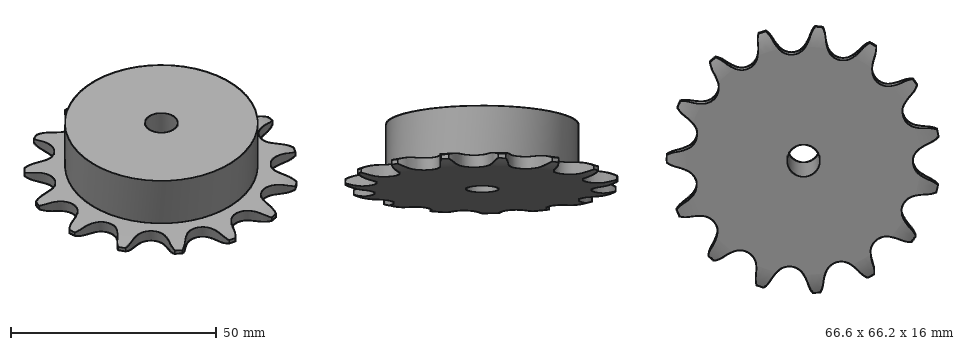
import cadquery as cq
import math

overall_width = 66.6
overall_height = 16.0
tooth_count = 15
chain_pitch = 12.7
roller_diameter = 7.7
seat_clearance = 0.05
plate_thickness = 3.0
tip_thickness = 1.05
hub_diameter = 47.0
bore_diameter = 8.0
gap_overrun = 0.65

pitch_angle = 360.0 / tooth_count
pitch_radius = chain_pitch / (2 * math.sin(math.radians(pitch_angle / 2)))

first_gap_angle = -90.0 + pitch_angle / 2
widest_gap_angle = first_gap_angle + 3 * pitch_angle

seat_angle = math.radians(90 - (35 + 60 / tooth_count))
working_angle = math.radians(18 - 56 / tooth_count)
topping_angle = math.radians(17 - 64 / tooth_count)
flank_angle = seat_angle + working_angle
seat_radius = 0.5025 * roller_diameter + seat_clearance
working_offset = 0.8 * roller_diameter
working_radius = seat_radius + working_offset
topping_offset = 1.4 * roller_diameter
straight_length = topping_offset * math.sin(topping_angle) - working_offset * math.sin(working_angle)
topping_radius = (
    working_offset * math.cos(working_angle) + topping_offset * math.cos(topping_angle) - working_radius
)


def polar_step(start, distance, angle):
    """Point reached from start; the angle is measured from the inward radial direction."""
    return (start[0] - distance * math.cos(angle), start[1] + distance * math.sin(angle))


def mirrored(point):
    return (point[0], -point[1])


seat_centre = (pitch_radius, 0.0)
seat_bottom = polar_step(seat_centre, seat_radius, 0.0)
seat_end = polar_step(seat_centre, seat_radius, seat_angle)
working_centre = polar_step(seat_centre, -working_offset, seat_angle)
working_middle = polar_step(working_centre, working_radius, seat_angle + working_angle / 2)
working_end = polar_step(working_centre, working_radius, flank_angle)
straight_end = polar_step(working_end, straight_length, flank_angle + math.pi / 2)
topping_centre = polar_step(straight_end, topping_radius, flank_angle)

centre_distance = math.hypot(*topping_centre)
centre_angle = math.atan2(topping_centre[1], topping_centre[0]) + math.radians(widest_gap_angle)
corner_x = overall_width / 2
corner_run = corner_x - centre_distance * math.cos(centre_angle)
corner_y = centre_distance * math.sin(centre_angle) - math.sqrt(topping_radius**2 - corner_run**2)
tip_radius = math.hypot(corner_x, corner_y)


def topping_point(x):
    """Point of the topping curve at the given x, on the side facing the gap."""
    return (x, topping_centre[1] - math.sqrt(topping_radius**2 - (x - topping_centre[0]) ** 2))


def toothed_blank():
    """Round plate whose rim is thinned on both faces by arcs tangent to the faces."""
    rim_radius = chain_pitch
    rim_drop = (plate_thickness - tip_thickness) / 2
    rim_start = tip_radius - math.sqrt(rim_radius**2 - (rim_radius - rim_drop) ** 2)
    return (
        cq.Workplane("XZ")
        .lineTo(rim_start, 0)
        .radiusArc((tip_radius, rim_drop), -rim_radius)
        .lineTo(tip_radius, plate_thickness - rim_drop)
        .radiusArc((rim_start, plate_thickness), -rim_radius)
        .lineTo(0, plate_thickness)
        .close()
        .revolve(360, (0, 0, 0), (0, 1, 0))
    )


def tooth_gap():
    """Cutter for the space between two teeth, centred on the X axis."""
    outer_x = tip_radius + gap_overrun
    topping_end = topping_point(outer_x)
    topping_middle = topping_point((straight_end[0] + outer_x) / 2)
    return (
        cq.Workplane("XY")
        .moveTo(*topping_end)
        .threePointArc(topping_middle, straight_end)
        .lineTo(*working_end)
        .threePointArc(working_middle, seat_end)
        .threePointArc(seat_bottom, mirrored(seat_end))
        .threePointArc(mirrored(working_middle), mirrored(working_end))
        .lineTo(*mirrored(straight_end))
        .threePointArc(mirrored(topping_middle), mirrored(topping_end))
        .close()
        .extrude(plate_thickness)
    )


sprocket = toothed_blank()
gap = tooth_gap()
for index in range(tooth_count):
    gap_angle = first_gap_angle + index * pitch_angle
    sprocket = sprocket.cut(gap.rotate((0, 0, 0), (0, 0, 1), gap_angle))

hub = cq.Workplane("XY").circle(hub_diameter / 2).extrude(overall_height)
bore = cq.Workplane("XY").circle(bore_diameter / 2).extrude(overall_height)
result = sprocket.union(hub).cut(bore)